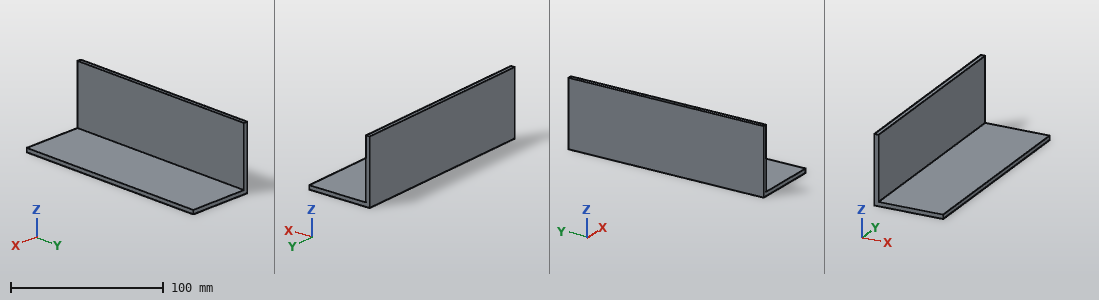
import cadquery as cq

length = 152.4
leg = 50.7
thickness = 3.2

horizontal_leg = cq.Workplane("XY").box(leg, length, thickness, centered=False)
vertical_leg = cq.Workplane("XY").box(thickness, length, leg, centered=False)

result = horizontal_leg.union(vertical_leg)